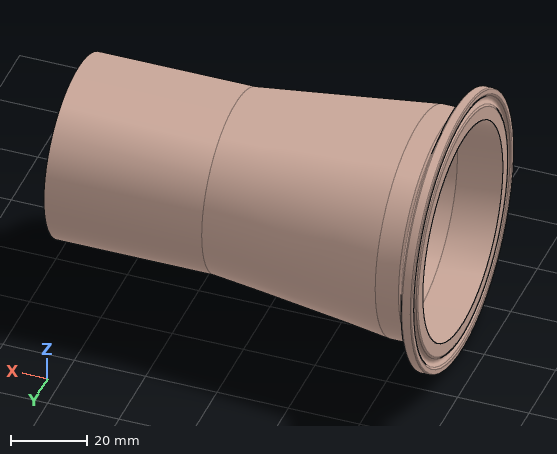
import cadquery as cq
import math

total_length = 108.0
taper_start = 12.7
taper_end = 63.7

flange_radius = 77.4 / 2
large_outer_radius = 63.5 / 2
large_bore_radius = 60.2 / 2
small_outer_radius = 50.8 / 2
small_bore_radius = 47.5 / 2

rim_width = 2.9
flange_back_angle = math.radians(20)
rim_front_fillet = 0.3
rim_back_fillet = 0.4
neck_fillet = 1.1

groove_center_radius = 35.4
groove_arc_radius = 1.3
groove_lip_radius = 0.6
groove_wall_angle = math.radians(60)


def revolve_about_x(profile):
    """Turn a closed (X, radius) profile into a solid around the X axis."""
    return profile.close().revolve(360, (0, 0, 0), (1, 0, 0))


def round_edge_at(body, x, fillet):
    """Fillet the circular edge that lies in the plane at the given X."""
    reach = flange_radius + 1.1
    margin = 0.1
    edge_slab = cq.selectors.BoxSelector(
        (x - margin, -reach, -reach), (x + margin, reach, reach), boundingbox=True
    )
    return body.edges(edge_slab).fillet(fillet)


def make_outer_body():
    flange_back_end = rim_width + (flange_radius - large_outer_radius) * math.tan(flange_back_angle)
    body = revolve_about_x(
        cq.Workplane("XY")
        .moveTo(0, 0)
        .lineTo(0, flange_radius)
        .lineTo(rim_width, flange_radius)
        .lineTo(flange_back_end, large_outer_radius)
        .lineTo(taper_start, large_outer_radius)
        .lineTo(taper_end, small_outer_radius)
        .lineTo(total_length, small_outer_radius)
        .lineTo(total_length, 0)
    )
    for x, fillet in (
        (0, rim_front_fillet),
        (rim_width, rim_back_fillet),
        (flange_back_end, neck_fillet),
    ):
        body = round_edge_at(body, x, fillet)
    return body


def make_bore():
    return revolve_about_x(
        cq.Workplane("XY")
        .moveTo(0, 0)
        .lineTo(0, large_bore_radius)
        .lineTo(taper_start, large_bore_radius)
        .lineTo(taper_end, small_bore_radius)
        .lineTo(total_length, small_bore_radius)
        .lineTo(total_length, 0)
    )


def make_gasket_groove():
    """Ring cutter: a concave arc blended into the flange face by a convex lip on each side."""
    groove_depth = (groove_arc_radius + groove_lip_radius) * (1 - math.cos(groove_wall_angle))
    lip_depth = groove_lip_radius * (1 - math.cos(groove_wall_angle))
    arc_half_width = groove_arc_radius * math.sin(groove_wall_angle)
    half_width = arc_half_width + groove_lip_radius * math.sin(groove_wall_angle)
    inner = groove_center_radius - half_width
    outer = groove_center_radius + half_width
    return revolve_about_x(
        cq.Workplane("XY")
        .moveTo(0, inner)
        .radiusArc((lip_depth, groove_center_radius - arc_half_width), groove_lip_radius)
        .threePointArc(
            (groove_depth, groove_center_radius),
            (lip_depth, groove_center_radius + arc_half_width),
        )
        .radiusArc((0, outer), groove_lip_radius)
    )


result = make_outer_body().cut(make_bore()).cut(make_gasket_groove())